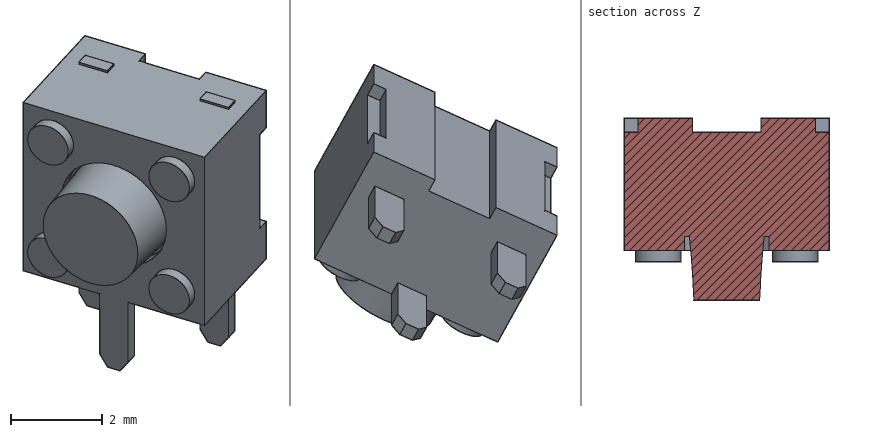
import cadquery as cq

total_height = 6.45
body_side = 4.5
body_depth = 2.9
half_side = body_side / 2

cover_thickness = 0.3
button_projection = 1.095
button_tip_radius = 1.175
button_base_radius = 1.24
button_hole_radius = 1.3

corner_offset = 1.5
pad_radius = 0.5
pad_height = 0.25

recess_depth = 0.3
channel_width = 1.495
side_notch_height = 2.5

pin_width = 0.71
pin_thickness = cover_thickness
pin_tip_width = 0.31
pin_tip_height = 0.29
stub_height = 0.05
pin_length = total_height - body_side - stub_height
rear_pin_setback = 0.73

rear_pin_front = body_depth - rear_pin_setback - pin_thickness


def make_body():
    """Square housing with a vertical rear channel and notches in the rear side edges."""
    body = cq.Workplane("XY").box(body_side, body_depth, body_side)
    body = body.translate((0, body_depth / 2, 0))
    recess_y = body_depth - recess_depth / 2
    channel = cq.Workplane("XY").box(channel_width, recess_depth, body_side)
    body = body.cut(channel.translate((0, recess_y, 0)))
    notch = cq.Workplane("XY").box(recess_depth, recess_depth, side_notch_height)
    for side in (-1, 1):
        notch_x = side * (half_side - recess_depth / 2)
        body = body.cut(notch.translate((notch_x, recess_y, 0)))
    return body


def make_button_hole():
    """Round clearance through the thickness of the cover."""
    return cq.Workplane("XZ").circle(button_hole_radius).extrude(-cover_thickness)


def make_button():
    """Tapered button rising from the bottom of the clearance hole."""
    return (
        cq.Workplane("XZ", origin=(0, cover_thickness, 0))
        .circle(button_base_radius)
        .workplane(offset=cover_thickness + button_projection)
        .circle(button_tip_radius)
        .loft(ruled=True)
    )


def make_pads():
    """Four round pads on the front face."""
    return (
        cq.Workplane("XZ")
        .rect(2 * corner_offset, 2 * corner_offset, forConstruction=True)
        .vertices()
        .circle(pad_radius)
        .extrude(pad_height)
    )


def make_pin(center_x, front_y):
    """Flat pin with a tapered tip, hanging from the bottom of the body."""
    half_width = pin_width / 2
    half_tip = pin_tip_width / 2
    top = -half_side
    bottom = top - pin_length
    shoulder = bottom + pin_tip_height
    outline = [
        (-half_width, top),
        (-half_width, shoulder),
        (-half_tip, bottom),
        (half_tip, bottom),
        (half_width, shoulder),
        (half_width, top),
    ]
    pin = cq.Workplane("XZ").polyline(outline).close().extrude(-pin_thickness)
    return pin.translate((center_x, front_y, 0))


def make_stub(center_x):
    """Upper end of a rear pin, standing just proud of the body."""
    stub = cq.Workplane("XY").box(pin_width, pin_thickness, stub_height)
    stub_y = rear_pin_front + pin_thickness / 2
    return stub.translate((center_x, stub_y, half_side + stub_height / 2))


result = make_body().cut(make_button_hole()).union(make_button()).union(make_pads())
result = result.union(make_pin(0, 0))
for pin_x in (-corner_offset, corner_offset):
    result = result.union(make_pin(pin_x, rear_pin_front))
    result = result.union(make_stub(pin_x))